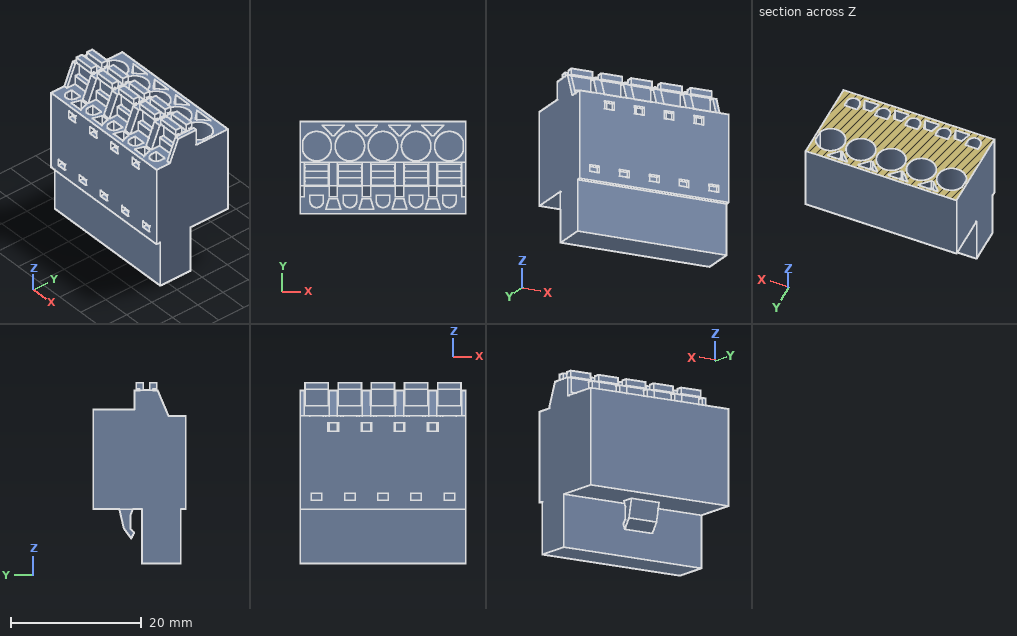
import cadquery as cq

POLE_COUNT = 5
POLE_PITCH = 5.08
TOTAL_WIDTH = POLE_COUNT * POLE_PITCH
POLE_XS = [(i - (POLE_COUNT - 1) / 2) * POLE_PITCH for i in range(POLE_COUNT)]
BETWEEN_XS = [x + POLE_PITCH / 2 for x in POLE_XS[:-1]]

TOTAL_HEIGHT = 27.73
BODY_BOTTOM_Z = 8.34
FRONT_TOP_Z = 22.65
REAR_TOP_Z = 23.63
RIB_TOP_Z = 26.54

BODY_DEPTH = 14.2
PLUG_FRONT_Y = 0.75
PLUG_BACK_Y = 6.75
RIB_FOOT_Y = 2.65
RIB_TOP_FRONT_Y = 4.3
RIB_BACK_Y = 7.9

RIB_WIDTH = 1.3
SEAT_WIDTH = POLE_PITCH - RIB_WIDTH
SEAT_FRONT_Y = 4.25
SEAT_Z = 24.22

LEVER_WIDTH = 3.6
LEVER_FRONT_Y = 4.42
LEVER_BACK_Y = 7.62
STEM_FRONT_Y = 5.0
STEM_BACK_Y = 7.07
GROOVE_FRONT_Y = 5.56
GROOVE_BACK_Y = 6.52
BAR_BOTTOM_Z = 26.73
GROOVE_Z = 26.62

WELL_DIAMETER = 4.52
WELL_Y = 10.39
WELL_DEPTH = 10.0
END_WALL = 0.43

REAR_POCKET_BACK_Y = 13.57
REAR_POCKET_FRONT_Y = 12.02
REAR_POCKET_BACK_WIDTH = 3.3
REAR_POCKET_FRONT_WIDTH = 0.3
REAR_POCKET_DEPTH = 5.0

TEST_HOLE_WIDTH = 2.08
TEST_HOLE_FRONT_Y = 0.98
TEST_HOLE_BACK_Y = 2.88
TEST_HOLE_DEPTH = 8.0

WINDOW_WIDTH = 1.62
WINDOW_DEPTH = 0.75
UPPER_WINDOW_TOP_Z = 21.57
UPPER_WINDOW_BOTTOM_Z = 20.3
LOWER_WINDOW_TOP_Z = 10.82
LOWER_WINDOW_BOTTOM_Z = 9.75

FRONT_POCKET_BACK_Y = 2.35
FRONT_POCKET_FRONT_Y = WINDOW_DEPTH
FRONT_POCKET_BACK_WIDTH = 1.28
FRONT_POCKET_FRONT_WIDTH = 2.26
FRONT_POCKET_DEPTH = 5.0

HOOK_WIDTH = POLE_PITCH
HOOK_OUTLINE = [
    (10.2, BODY_BOTTOM_Z),
    (9.52, 5.4),
    (8.36, 3.83),
    (7.9, 4.74),
    (8.47, 5.33),
    (8.47, 7.38),
    (8.12, BODY_BOTTOM_Z),
]


def extrude_profile(points, width, center_x=0):
    """Extrude a closed (Y, Z) outline along X, centred on center_x."""
    profile = cq.Workplane("YZ").polyline(points).close()
    return profile.extrude(width / 2, both=True).translate((center_x, 0, 0))


def box_between(center_x, width, y_range, z_range):
    """Box centred on center_x that spans the given Y and Z ranges."""
    size_y = y_range[1] - y_range[0]
    size_z = z_range[1] - z_range[0]
    box = cq.Workplane("XY").box(width, size_y, size_z, centered=(True, False, False))
    return box.translate((center_x, y_range[0], z_range[0]))


def housing_blank():
    """Body, full-width ridge and plug as one profile, plus the latch hook."""
    outline = [
        (0, BODY_BOTTOM_Z),
        (0, FRONT_TOP_Z),
        (RIB_FOOT_Y, FRONT_TOP_Z),
        (RIB_TOP_FRONT_Y, RIB_TOP_Z),
        (RIB_BACK_Y, RIB_TOP_Z),
        (RIB_BACK_Y, REAR_TOP_Z),
        (BODY_DEPTH, REAR_TOP_Z),
        (BODY_DEPTH, BODY_BOTTOM_Z),
        (PLUG_BACK_Y, BODY_BOTTOM_Z),
        (PLUG_BACK_Y, 0),
        (PLUG_FRONT_Y, 0),
        (PLUG_FRONT_Y, BODY_BOTTOM_Z),
    ]
    body = extrude_profile(outline, TOTAL_WIDTH)
    return body.union(extrude_profile(HOOK_OUTLINE, HOOK_WIDTH))


def seat_cutter(center_x):
    """Stepped gap between two ribs, leaving a raised seat for the lever."""
    outline = [
        (RIB_FOOT_Y, FRONT_TOP_Z),
        (SEAT_FRONT_Y, FRONT_TOP_Z),
        (SEAT_FRONT_Y, SEAT_Z),
        (RIB_BACK_Y, SEAT_Z),
        (RIB_BACK_Y, RIB_TOP_Z),
        (RIB_FOOT_Y, RIB_TOP_Z),
    ]
    return extrude_profile(outline, SEAT_WIDTH, center_x)


def well_cutter(center_x):
    """Blind round well, kept clear of the end walls."""
    bottom_z = REAR_TOP_Z - WELL_DEPTH
    well = cq.Workplane("XY").circle(WELL_DIAMETER / 2).extrude(WELL_DEPTH)
    well = well.translate((center_x, WELL_Y, bottom_z))
    inside = box_between(0, TOTAL_WIDTH - 2 * END_WALL, (0, BODY_DEPTH), (bottom_z, REAR_TOP_Z))
    return well.intersect(inside)


def tapered_pocket_cutter(center_x, front, back, top_z, depth):
    """Blind trapezoidal pocket; front and back are (Y, width) pairs."""
    front_y, front_width = front
    back_y, back_width = back
    outline = [
        (-front_width / 2, front_y),
        (front_width / 2, front_y),
        (back_width / 2, back_y),
        (-back_width / 2, back_y),
    ]
    pocket = cq.Workplane("XY").polyline(outline).close().extrude(depth)
    return pocket.translate((center_x, 0, top_z - depth))


def rear_pocket_cutter(center_x):
    front = (REAR_POCKET_FRONT_Y, REAR_POCKET_FRONT_WIDTH)
    back = (REAR_POCKET_BACK_Y, REAR_POCKET_BACK_WIDTH)
    return tapered_pocket_cutter(center_x, front, back, REAR_TOP_Z, REAR_POCKET_DEPTH)


def front_pocket_cutter(center_x):
    front = (FRONT_POCKET_FRONT_Y, FRONT_POCKET_FRONT_WIDTH)
    back = (FRONT_POCKET_BACK_Y, FRONT_POCKET_BACK_WIDTH)
    return tapered_pocket_cutter(center_x, front, back, FRONT_TOP_Z, FRONT_POCKET_DEPTH)


def test_hole_cutter(center_x):
    """Blind hole with a straight back and a half-round front."""
    radius = TEST_HOLE_WIDTH / 2
    arc_center_y = TEST_HOLE_FRONT_Y + radius
    outline = (
        cq.Workplane("XY")
        .moveTo(-radius, TEST_HOLE_BACK_Y)
        .lineTo(-radius, arc_center_y)
        .threePointArc((0, TEST_HOLE_FRONT_Y), (radius, arc_center_y))
        .lineTo(radius, TEST_HOLE_BACK_Y)
        .close()
    )
    hole = outline.extrude(TEST_HOLE_DEPTH)
    return hole.translate((center_x, 0, FRONT_TOP_Z - TEST_HOLE_DEPTH))


def window_cutter(center_x, bottom_z, top_z):
    return box_between(center_x, WINDOW_WIDTH, (0, WINDOW_DEPTH), (bottom_z, top_z))


def make_housing():
    housing = housing_blank()
    for x in POLE_XS:
        housing = housing.cut(seat_cutter(x))
        housing = housing.cut(well_cutter(x))
        housing = housing.cut(test_hole_cutter(x))
        housing = housing.cut(window_cutter(x, LOWER_WINDOW_BOTTOM_Z, LOWER_WINDOW_TOP_Z))
    for x in BETWEEN_XS:
        housing = housing.cut(rear_pocket_cutter(x))
        housing = housing.cut(front_pocket_cutter(x))
        housing = housing.cut(window_cutter(x, UPPER_WINDOW_BOTTOM_Z, UPPER_WINDOW_TOP_Z))
    return housing


def make_lever(center_x):
    """Lever standing on its seat, with a groove between its two finger bars."""
    outline = [
        (STEM_FRONT_Y, SEAT_Z),
        (STEM_FRONT_Y, BAR_BOTTOM_Z),
        (LEVER_FRONT_Y, BAR_BOTTOM_Z),
        (LEVER_FRONT_Y, TOTAL_HEIGHT),
        (GROOVE_FRONT_Y, TOTAL_HEIGHT),
        (GROOVE_FRONT_Y, GROOVE_Z),
        (GROOVE_BACK_Y, GROOVE_Z),
        (GROOVE_BACK_Y, TOTAL_HEIGHT),
        (LEVER_BACK_Y, TOTAL_HEIGHT),
        (LEVER_BACK_Y, BAR_BOTTOM_Z),
        (STEM_BACK_Y, BAR_BOTTOM_Z),
        (STEM_BACK_Y, SEAT_Z),
    ]
    return extrude_profile(outline, LEVER_WIDTH, center_x)


housing = make_housing()
levers = [make_lever(x) for x in POLE_XS]
result = cq.Compound.makeCompound([housing.solids().val(), *[lever.val() for lever in levers]])